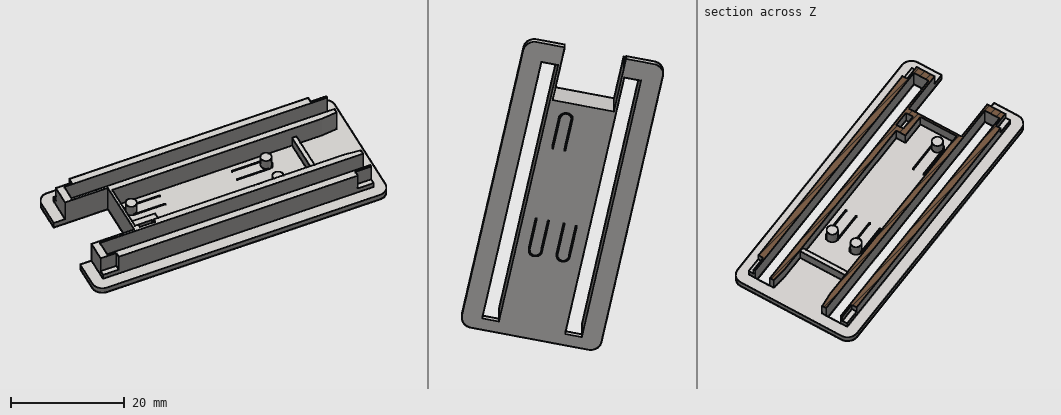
import cadquery as cq

plate_width = 25.1
plate_length = 56.9
plate_thickness = 1.2
corner_radius = 2.0
total_height = 5.5

end_margin = 2.2
body_half_width = 10.35
slot_outer_x = 8.95
slot_inner_x = 5.95
tray_half_width = 4.75
front_bar_thickness = 1.45

body_back_y = plate_length / 2 - end_margin
body_front_y = -body_back_y
slot_front_y = body_front_y + front_bar_thickness

step_width = 1.0
step_length = 3.05
step_z = 2.2

flare_width = 0.3
flare_length = 3.0

bay_half_width = 5.5
bay_back_y = -17.95
front_wall_thickness = 0.5
tray_front_y = bay_back_y + front_wall_thickness
cross_wall_front_y = 17.45
cross_wall_thickness = 0.85
cross_wall_height = 2.0

pegs = [(-2.5, 11.35, -1), (2.5, 11.35, -1), (-2.5, -14.8, 1)]
peg_radius = 1.0
peg_height = 2.0
tongue_gap = 0.2
tongue_length = 6.1

block_left_x = 2.8
block_back_y = -12.65
block_top_z = 4.6
pocket_left_x = 4.0
pocket_right_x = 5.4
pocket_front_y = -16.8
pocket_back_y = -13.8
pocket_floor_z = plate_thickness


def box(x0, x1, y0, y1, z0, z1):
    """Axis-aligned box given by its limits."""
    return cq.Workplane("XY").box(x1 - x0, y1 - y0, z1 - z0, centered=False).translate((x0, y0, z0))


def base_plate():
    plate = cq.Workplane("XY").box(plate_width, plate_length, plate_thickness, centered=(True, True, False))
    return plate.edges("|Z").fillet(corner_radius)


def body_block():
    return box(-body_half_width, body_half_width, body_front_y, body_back_y, 0, total_height)


def tray_cavity():
    """Space between the inner walls, flared at its open back end."""
    flare_start_y = body_back_y - flare_length
    flared_half_width = tray_half_width + flare_width
    outline = [
        (-tray_half_width, tray_front_y),
        (tray_half_width, tray_front_y),
        (tray_half_width, flare_start_y),
        (flared_half_width, body_back_y),
        (-flared_half_width, body_back_y),
        (-tray_half_width, flare_start_y),
    ]
    cavity = cq.Workplane("XY").workplane(offset=plate_thickness).polyline(outline).close()
    return cavity.extrude(total_height - plate_thickness)


def front_bay():
    return box(-bay_half_width, bay_half_width, -plate_length / 2, bay_back_y, 0, total_height)


def right_slot():
    return box(slot_inner_x, slot_outer_x, slot_front_y, body_back_y, 0, total_height)


def right_corner_step(y_start):
    return box(
        body_half_width - step_width, body_half_width,
        y_start, y_start + step_length,
        step_z, total_height,
    )


def cross_wall():
    return box(
        -tray_half_width, tray_half_width,
        cross_wall_front_y, cross_wall_front_y + cross_wall_thickness,
        0, plate_thickness + cross_wall_height,
    )


def corner_block():
    return box(block_left_x, tray_half_width, tray_front_y, block_back_y, 0, block_top_z)


def block_pocket():
    return box(pocket_left_x, pocket_right_x, pocket_front_y, pocket_back_y, pocket_floor_z, total_height)


def tongue_profile(x, y, direction, radius):
    """Tongue-shaped prism: a disc around the peg plus a straight strip to the root."""
    root_y = y + direction * tongue_length
    disc = cq.Workplane("XY").center(x, y).circle(radius).extrude(plate_thickness)
    strip = box(x - radius, x + radius, min(y, root_y), max(y, root_y), 0, plate_thickness)
    return disc.union(strip)


def tongue_slit(x, y, direction):
    """U-shaped slit through the floor that frees the tongue."""
    outer = tongue_profile(x, y, direction, peg_radius + tongue_gap)
    return outer.cut(tongue_profile(x, y, direction, peg_radius))


def peg(x, y):
    return cq.Workplane("XY").center(x, y).circle(peg_radius).extrude(plate_thickness + peg_height)


result = base_plate().union(body_block()).cut(tray_cavity()).cut(front_bay())

right_cuts = [right_slot(), right_corner_step(body_front_y), right_corner_step(body_back_y - step_length)]
for right_cut in right_cuts:
    result = result.cut(right_cut).cut(right_cut.mirror("YZ"))

result = result.union(cross_wall()).union(corner_block()).cut(block_pocket())

for peg_x, peg_y, root_direction in pegs:
    result = result.cut(tongue_slit(peg_x, peg_y, root_direction)).union(peg(peg_x, peg_y))